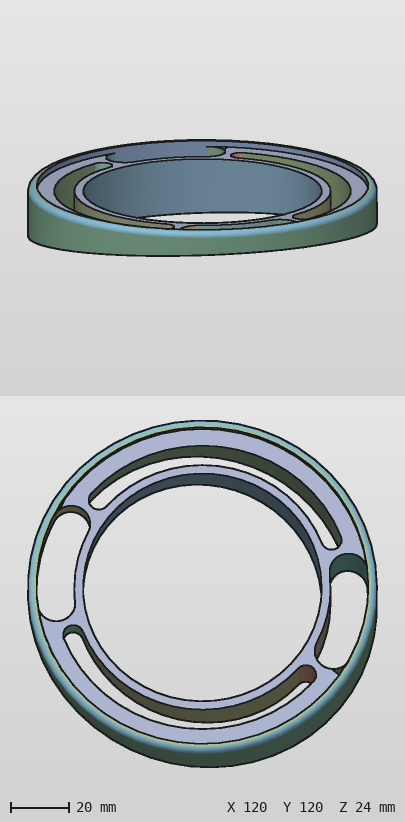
import cadquery as cq
import math

outer_radius = 60.0
tall_height = 24.0
short_height = 8.0
rim_fillet = 2.0

recess_radius = 57.0
recess_depth = 2.0
bore_radius = 82.0 / 2

ring_outer_radius = 44.0
long_slot_outer_radius = 51.0
long_slot_end_angle = 31.3
side_slot_end_angle = 16.7


def cylinder(radius, height):
    return cq.Workplane("XY").circle(radius).extrude(height)


def polar_point(radius, angle):
    radians = math.radians(angle)
    return (radius * math.cos(radians), radius * math.sin(radians))


def curved_slot(inner_radius, slot_outer_radius, start_angle, end_angle):
    """Full-height ring sector with round ends centred at the two end angles."""
    middle_radius = (inner_radius + slot_outer_radius) / 2
    cap_radius = (slot_outer_radius - inner_radius) / 2
    middle_angle = (start_angle + end_angle) / 2

    def cap_tip(angle, direction):
        x, y = polar_point(middle_radius, angle)
        tip_x, tip_y = polar_point(cap_radius, angle + direction * 90)
        return (x + tip_x, y + tip_y)

    return (
        cq.Workplane("XY")
        .moveTo(*polar_point(slot_outer_radius, start_angle))
        .threePointArc(polar_point(slot_outer_radius, middle_angle), polar_point(slot_outer_radius, end_angle))
        .threePointArc(cap_tip(end_angle, 1), polar_point(inner_radius, end_angle))
        .threePointArc(polar_point(inner_radius, middle_angle), polar_point(inner_radius, start_angle))
        .threePointArc(cap_tip(start_angle, -1), polar_point(slot_outer_radius, start_angle))
        .close()
        .extrude(tall_height)
    )


body = cylinder(outer_radius, tall_height).faces(">Z").edges().fillet(rim_fillet)

wedge = (
    cq.Workplane("XZ")
    .moveTo(-outer_radius, 0)
    .lineTo(outer_radius, 0)
    .lineTo(outer_radius, tall_height - short_height)
    .close()
    .extrude(outer_radius, both=True)
)
body = body.cut(wedge)

recess = cylinder(recess_radius, recess_depth).translate((0, 0, tall_height - recess_depth))
body = body.cut(recess).cut(cylinder(bore_radius, tall_height))

long_slot = curved_slot(
    ring_outer_radius, long_slot_outer_radius, long_slot_end_angle, 180 - long_slot_end_angle
)
side_slot = curved_slot(ring_outer_radius, recess_radius, -side_slot_end_angle, side_slot_end_angle)
for turn in (0, 180):
    for slot in (long_slot, side_slot):
        body = body.cut(slot.rotate((0, 0, 0), (0, 0, 1), turn))

result = body